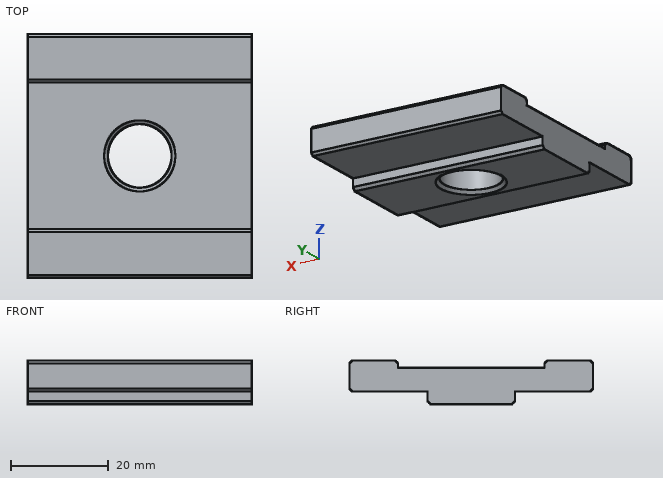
import cadquery as cq

length_x = 46.0
width_y = 50.0
total_height = 9.0

tongue_width = 18.0
tongue_depth = 2.6
tongue_chamfer = 0.7

channel_width = 30.0
channel_depth = 1.5

edge_chamfer = 0.6

hole_diameter = 13.0
hole_chamfer = 0.8

half_width = width_y / 2
half_tongue = tongue_width / 2
half_channel = channel_width / 2
channel_floor = total_height - channel_depth

half_section = [
    (0, 0),
    (half_tongue - tongue_chamfer, 0),
    (half_tongue, tongue_chamfer),
    (half_tongue, tongue_depth),
    (half_width - edge_chamfer, tongue_depth),
    (half_width, tongue_depth + edge_chamfer),
    (half_width, total_height - edge_chamfer),
    (half_width - edge_chamfer, total_height),
    (half_channel + edge_chamfer, total_height),
    (half_channel, total_height - edge_chamfer),
    (half_channel, channel_floor),
    (0, channel_floor),
]

half_body = (
    cq.Workplane("YZ")
    .polyline(half_section)
    .close()
    .extrude(length_x / 2, both=True)
)
body = half_body.union(half_body.mirror("XZ")).clean()


def countersink(mouth_z, inner_z):
    """Cone that widens from the hole wall at inner_z to its mouth at mouth_z."""
    return (
        cq.Workplane("XY")
        .workplane(offset=inner_z)
        .circle(hole_diameter / 2)
        .workplane(offset=mouth_z - inner_z)
        .circle(hole_diameter / 2 + hole_chamfer)
        .loft(ruled=True)
    )


hole = cq.Workplane("XY").circle(hole_diameter / 2).extrude(total_height)
top_countersink = countersink(channel_floor, channel_floor - hole_chamfer)
bottom_countersink = countersink(0, hole_chamfer)

result = body.cut(hole).cut(top_countersink).cut(bottom_countersink)